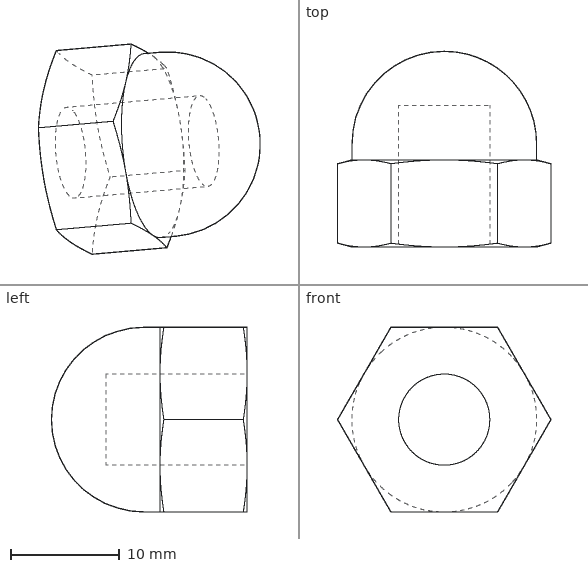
import cadquery as cq
import math

across_corners = 19.63
across_flats = across_corners * math.cos(math.radians(30))
total_length = 18.0
hex_length = 8.0
bore_diameter = 8.38
bore_depth = 13.0
chamfer_angle = 15.0

corner_radius = across_corners / 2
dome_radius = across_flats / 2
dome_start = total_length - dome_radius
chamfer_drop = (corner_radius - dome_radius) * math.tan(math.radians(chamfer_angle))


def extrude_along_y(sketch_plane, length):
    """Extrude an XZ sketch from the open face toward +Y."""
    return sketch_plane.extrude(-length)


def hex_body():
    """Hexagon with corners on X, its corners trimmed by a cone at each end."""
    prism = extrude_along_y(cq.Workplane("XZ").polygon(6, across_corners), hex_length)
    corner_envelope = (
        cq.Workplane("XY")
        .lineTo(dome_radius, 0)
        .lineTo(corner_radius, chamfer_drop)
        .lineTo(corner_radius, hex_length - chamfer_drop)
        .lineTo(dome_radius, hex_length)
        .lineTo(0, hex_length)
        .close()
        .revolve(360, (0, 0), (0, 1))
    )
    return prism.intersect(corner_envelope)


def domed_cap():
    """Short cylindrical collar that runs into a hemisphere."""
    arc_offset = dome_radius * math.sqrt(0.5)
    return (
        cq.Workplane("XY")
        .moveTo(0, hex_length)
        .lineTo(dome_radius, hex_length)
        .lineTo(dome_radius, dome_start)
        .threePointArc((arc_offset, dome_start + arc_offset), (0, total_length))
        .close()
        .revolve(360, (0, 0), (0, 1))
    )


bore = extrude_along_y(cq.Workplane("XZ").circle(bore_diameter / 2), bore_depth)

result = hex_body().union(domed_cap()).cut(bore)